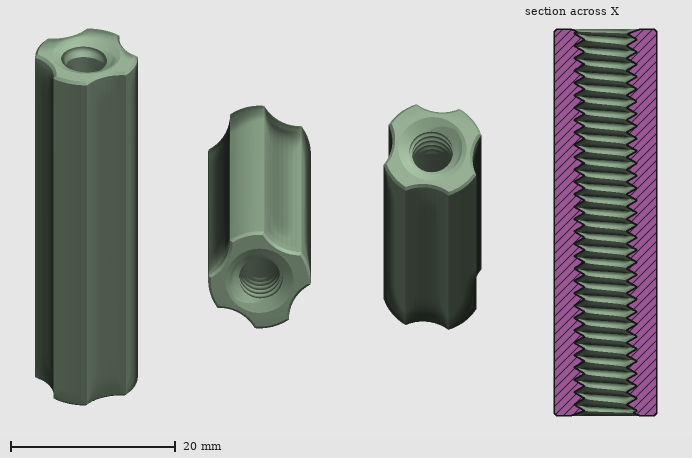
import cadquery as cq
import math

LENGTH = 46.9
BODY_RADIUS = 6.25
FLUTE_COUNT = 4
FLUTE_RADIUS = 5.0
FLUTE_FLOOR_RADIUS = 4.9
EDGE_CHAMFER = 0.35

THREAD_PITCH = 1.5
THREAD_HALF_ANGLE = math.radians(30)
THREAD_CREST_RADIUS = 2.5
THREAD_ROOT_RADIUS = THREAD_CREST_RADIUS + THREAD_PITCH / 2 / math.tan(THREAD_HALF_ANGLE)
TOP_ROOT_DEPTH = 0.15

COUNTERSINK_RADIUS = 4.13
COUNTERSINK_DEPTH = 0.6


def fluted_bar():
    """Round bar with flutes between its four lobes and both ends chamfered."""
    bar = cq.Workplane("XY").circle(BODY_RADIUS).extrude(LENGTH)
    flutes = (
        cq.Workplane("XY")
        .polarArray(FLUTE_FLOOR_RADIUS + FLUTE_RADIUS, 180 / FLUTE_COUNT, 360, FLUTE_COUNT)
        .circle(FLUTE_RADIUS)
        .extrude(LENGTH)
    )
    return bar.cut(flutes).faces("<Z or >Z").chamfer(EDGE_CHAMFER)


def countersink(face_z, inward):
    """Cone opening at the end face at face_z and narrowing along the inward Z direction."""
    cone = cq.Solid.makeCone(
        COUNTERSINK_RADIUS,
        THREAD_CREST_RADIUS,
        COUNTERSINK_DEPTH,
        pnt=cq.Vector(0, 0, face_z),
        dir=cq.Vector(0, 0, inward),
    )
    return cq.Workplane(obj=cone)


def helix_turn(radius, start_z):
    """One right-handed helix turn that starts on the +X side."""
    turn = cq.Wire.makeHelix(THREAD_PITCH, THREAD_PITCH, radius)
    return turn.translate(cq.Vector(0, 0, start_z)).Edges()[0]


def flank_faces(start_z):
    """Lower and upper flank of one thread turn, from crest to root and back to the next crest."""
    lower_crest = helix_turn(THREAD_CREST_RADIUS, start_z)
    root = helix_turn(THREAD_ROOT_RADIUS, start_z + THREAD_PITCH / 2)
    upper_crest = helix_turn(THREAD_CREST_RADIUS, start_z + THREAD_PITCH)
    return [
        cq.Face.makeRuledSurface(lower_crest, root),
        cq.Face.makeRuledSurface(root, upper_crest),
    ]


def end_faces(start_z):
    """Spiral ramp and upright step that close the threaded core at one end."""
    end_z = start_z + THREAD_PITCH
    axis_bottom = cq.Vector(0, 0, start_z)
    axis_top = cq.Vector(0, 0, end_z)
    step_outline = cq.Wire.makePolygon(
        [
            axis_bottom,
            cq.Vector(THREAD_CREST_RADIUS, 0, start_z),
            cq.Vector(THREAD_ROOT_RADIUS, 0, start_z + THREAD_PITCH / 2),
            cq.Vector(THREAD_CREST_RADIUS, 0, end_z),
            axis_top,
        ],
        close=True,
    )
    axis_edge = cq.Edge.makeLine(axis_bottom, axis_top)
    ramp = cq.Face.makeRuledSurface(axis_edge, helix_turn(THREAD_CREST_RADIUS, start_z))
    return [ramp, cq.Face.makeFromWires(step_outline)]


def threaded_core():
    """Solid that fills the threaded bore and runs out past both ends of the bar."""
    turns = math.ceil(LENGTH / THREAD_PITCH) + 1
    top_z = LENGTH - TOP_ROOT_DEPTH + THREAD_PITCH / 2
    bottom_z = top_z - turns * THREAD_PITCH

    faces = end_faces(bottom_z) + end_faces(top_z)
    for turn in range(turns):
        faces += flank_faces(bottom_z + turn * THREAD_PITCH)
    return cq.Workplane(obj=cq.Solid.makeSolid(cq.Shell.makeShell(faces)))


countersunk_bar = fluted_bar()
for face_z, inward in ((0, 1), (LENGTH, -1)):
    countersunk_bar = countersunk_bar.cut(countersink(face_z, inward))

result = countersunk_bar.cut(threaded_core(), clean=False).solids()